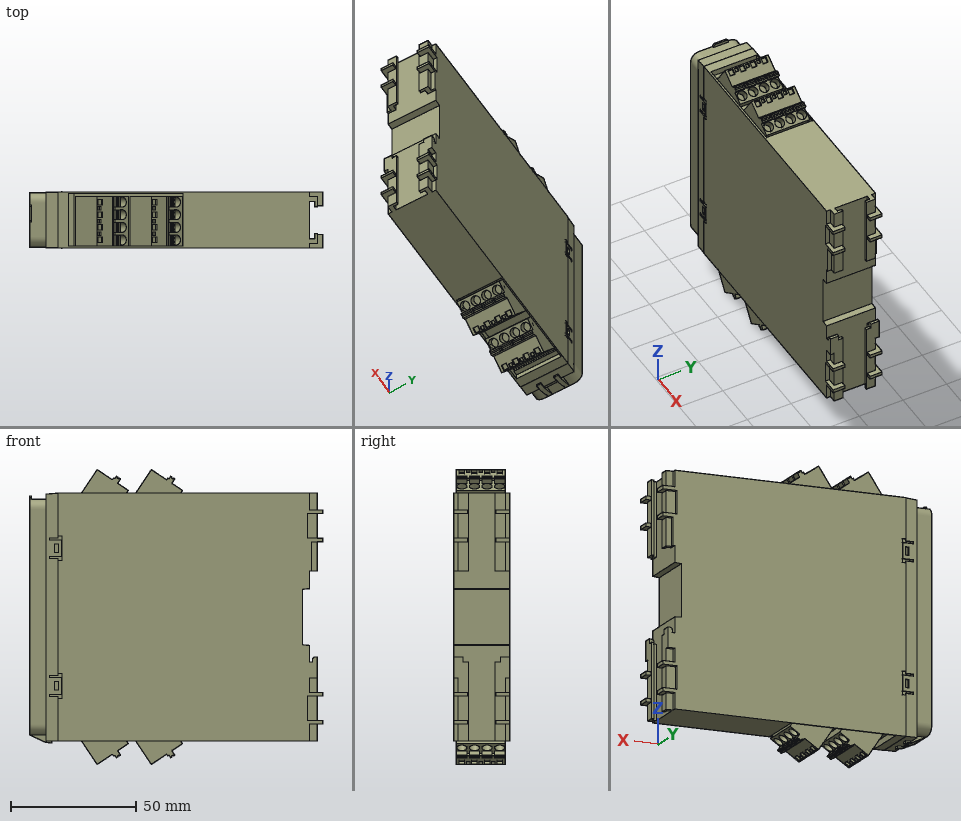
import cadquery as cq
import math

OVERALL_WIDTH = 22.62
BODY_WIDTH = 22.4
BODY_HALF_HEIGHT = 49.6
BEZEL_FRONT = 6.5
BEZEL_BACK = 11.3
BEZEL_INSET = 0.08
BEZEL_TAPER = 0.4
BODY_BACK = 111.9

COVER_WIDTH = 21.9
COVER_HALF_HEIGHT = 47.1
COVER_RADIUS = 4.0
TAB_DEPTH = 0.8
TAB_HEIGHT = 1.3
TAB_Y_MIN = -0.8
TAB_Y_MAX = 6.1
TAB_BEVEL = 0.7
HINGE_RIB_WIDTH = 2.1
HINGE_RIB_Y = (4.0, -4.1)
HINGE_BOTTOM = -50.4
HINGE_HEEL = 0.4
HINGE_RAMP_BACK = 6.2
HINGE_BACK = 8.9
HINGE_BAR_TOP = -48.5
HINGE_BAR_DEPTH = 0.8

LATCH_Z = 27.5
LATCH_HALF_HEIGHT = 3.35
LATCH_FRONT = 8.0
LATCH_BACK = 13.0
LATCH_SLOT = 0.8
LATCH_EAR = 1.6
LATCH_RECESS = 0.8
LATCH_LIP_LENGTH = 0.3
WINDOW_FRONT = 10.0
WINDOW_LENGTH = 1.8
WINDOW_HEIGHT = 3.4
WINDOW_DEPTH = 1.2

POCKET_FRONT = 15.6
POCKET_BACK = 61.2
POCKET_Y_MIN = -10.3
POCKET_Y_MAX = 10.6
POCKET_DEPTH = 3.6
LEDGE_BACK = 17.7
LEDGE_DEPTH = 2.6
TERMINAL_WIDTH = 19.75
TERMINAL_Y = -0.4
TERMINAL_TOP = 58.9
TERMINAL_APEX_X = (27.0, 48.65)
TERMINAL_TILT = 33.7
TERMINAL_LENGTH = 15.0
POLE_COUNT = 4
POLE_PITCH = 5.03
BUTTON_START = 7.3
BUTTON_END = 9.9
BUTTON_GAP = 1.1
BUTTON_HEIGHT = 2.1
BUTTON_GROOVE = 0.6
BUTTON_GROOVE_DEPTH = 0.4
RIDGE_HEIGHT = 0.9
RIDGE_LENGTH = 0.6
WIRE_HOLE_DIAMETER = 4.0
WIRE_HOLE_CENTRE = 12.0
WIRE_HOLE_DEPTH = 4.0
TOP_HOLE_START = 0.5
TEST_HOLE_LENGTH = 2.2
TEST_HOLE_WIDTH = 2.2
KEY_HOLE_LENGTH = 1.4
KEY_HOLE_WIDTH = 1.4
TOP_HOLE_DEPTH = 1.0

RAIL_SEAT = 109.1
RAIL_HALF_HEIGHT = 11.3
RAIL_SEAT_BEVEL = 0.25
WALL_BACK = 115.0
WALL_OUTER_Y = 9.45
WALL_INNER_Y = 7.4
WALL_LIP_FRONT = 113.9
WALL_LIP_Y = 5.3
UPPER_WALL_BOTTOM = 18.3
SKIN_BACK = 112.7
FOOT_TOP = -17.9
FOOT_BOTTOM = -24.3
FOOT_HOOK_FRONT = 113.0
FOOT_HOOK_TOP = -15.9
FOOT_HOOK_BEVEL = 0.7
FIN_BACK = 117.2
FIN_INNER_Y = 5.7
FIN_THICKNESS = 1.5
FIN_Z = (42.0, 30.8)
FIN_RECESS_FRONT = 111.0


def box(x0, x1, y0, y1, z0, z1):
    """Box between two opposite corners."""
    return cq.Workplane("XY").box(x1 - x0, y1 - y0, z1 - z0, centered=False).translate((x0, y0, z0))


def side_profile(points, width, y_centre=0):
    """XZ outline extruded symmetrically about y_centre."""
    outline = cq.Workplane("XZ").polyline(points).close().extrude(width / 2, both=True)
    return outline.translate((0, y_centre, 0))


def both_sides(shape):
    """The shape together with its mirror image in Y."""
    return shape.union(shape.mirror("XZ"))


def both_ends(shape):
    """The shape together with its mirror image in Z."""
    return shape.union(shape.mirror("XY"))


def housing():
    half = BODY_HALF_HEIGHT
    seat_z = RAIL_HALF_HEIGHT - RAIL_SEAT_BEVEL
    body = side_profile(
        [
            (BEZEL_BACK, -half),
            (BODY_BACK, -half),
            (BODY_BACK, -RAIL_HALF_HEIGHT),
            (RAIL_SEAT, -seat_z),
            (RAIL_SEAT, seat_z),
            (BODY_BACK, RAIL_HALF_HEIGHT),
            (BODY_BACK, half),
            (BEZEL_BACK, half),
        ],
        BODY_WIDTH,
    )
    top = half - BEZEL_INSET
    bezel = side_profile(
        [
            (BEZEL_FRONT, -top),
            (BEZEL_BACK, -top),
            (BEZEL_BACK, top),
            (BEZEL_FRONT, top - BEZEL_TAPER),
        ],
        BODY_WIDTH - 2 * BEZEL_INSET,
    )
    return body.union(bezel)


def cover():
    shell = (
        cq.Workplane("YZ")
        .rect(COVER_WIDTH, 2 * COVER_HALF_HEIGHT)
        .extrude(BEZEL_FRONT)
        .edges("|X")
        .fillet(COVER_RADIUS)
    )
    tab_top = COVER_HALF_HEIGHT + TAB_HEIGHT
    tab = (
        cq.Workplane("YZ")
        .polyline(
            [
                (TAB_Y_MIN, COVER_HALF_HEIGHT - TAB_HEIGHT),
                (TAB_Y_MAX, COVER_HALF_HEIGHT - TAB_HEIGHT),
                (TAB_Y_MAX, tab_top - TAB_BEVEL),
                (TAB_Y_MAX - TAB_BEVEL, tab_top),
                (TAB_Y_MIN + TAB_BEVEL, tab_top),
                (TAB_Y_MIN, tab_top - TAB_BEVEL),
            ]
        )
        .close()
        .extrude(TAB_DEPTH)
    )
    return shell.union(tab)


def cover_hinge():
    """Two ramped ribs under the cover with a thin bar between them."""
    rib_outline = [
        (0, -COVER_HALF_HEIGHT),
        (HINGE_RAMP_BACK, HINGE_BOTTOM + HINGE_HEEL),
        (HINGE_BACK, HINGE_BOTTOM),
        (HINGE_BACK, -COVER_HALF_HEIGHT),
    ]
    bar_front = BEZEL_FRONT - HINGE_BAR_DEPTH
    hinge = box(bar_front, BEZEL_FRONT, HINGE_RIB_Y[1], HINGE_RIB_Y[0], -BODY_HALF_HEIGHT, HINGE_BAR_TOP)
    for rib_y in HINGE_RIB_Y:
        hinge = hinge.union(side_profile(rib_outline, HINGE_RIB_WIDTH, rib_y))
    return hinge


def latch_recess():
    """Slots and ears around the upper -Y latch, and the seat that brings its tongue level with the bezel."""
    y_outer = -OVERALL_WIDTH / 2
    y_bezel = -BODY_WIDTH / 2 + BEZEL_INSET
    y_inner = -BODY_WIDTH / 2 + LATCH_RECESS
    slot_reach = LATCH_HALF_HEIGHT + LATCH_SLOT
    ear_reach = LATCH_HALF_HEIGHT + LATCH_EAR
    slots = box(LATCH_FRONT, LATCH_BACK, y_outer, y_inner, -slot_reach, slot_reach)
    ears = box(BEZEL_BACK, LATCH_BACK, y_outer, y_inner, -ear_reach, ear_reach)
    tongue = box(LATCH_FRONT, LATCH_BACK, y_bezel, y_inner, -LATCH_HALF_HEIGHT, LATCH_HALF_HEIGHT)
    return slots.union(ears).cut(tongue).translate((0, 0, LATCH_Z))


def latch_lip():
    """Raised lip along the back edge of the upper -Y latch tongue."""
    y_outer = -OVERALL_WIDTH / 2
    y_inner = -BODY_WIDTH / 2 + LATCH_RECESS
    lip = box(
        LATCH_BACK - LATCH_LIP_LENGTH, LATCH_BACK, y_outer, y_inner, -LATCH_HALF_HEIGHT, LATCH_HALF_HEIGHT
    )
    return lip.translate((0, 0, LATCH_Z))


def latch_window():
    """Window in the upper -Y latch with a floor that slopes up towards the back."""
    y_outer = -OVERALL_WIDTH / 2
    y_inner = -BODY_WIDTH / 2 + WINDOW_DEPTH
    window_back = WINDOW_FRONT + WINDOW_LENGTH
    outline = [(WINDOW_FRONT, y_outer), (window_back, y_outer), (WINDOW_FRONT, y_inner)]
    window = cq.Workplane("XY").polyline(outline).close().extrude(WINDOW_HEIGHT / 2, both=True)
    return window.translate((0, 0, LATCH_Z))


def terminal_pocket():
    """Pocket in the upper face with a shallower ledge at its front end."""
    top = BODY_HALF_HEIGHT
    ledge = box(POCKET_FRONT, LEDGE_BACK, POCKET_Y_MIN, POCKET_Y_MAX, top - LEDGE_DEPTH, top)
    return ledge.union(box(LEDGE_BACK, POCKET_BACK, POCKET_Y_MIN, POCKET_Y_MAX, top - POCKET_DEPTH, top))


def button_row(half_width):
    """Raised rail across an untilted block, grooved along its top and notched between the buttons."""
    row = box(BUTTON_START, BUTTON_END, -half_width, half_width, 0, BUTTON_HEIGHT)
    step_end = BUTTON_START + RIDGE_LENGTH
    row = row.cut(box(BUTTON_START, step_end, -half_width, half_width, RIDGE_HEIGHT, BUTTON_HEIGHT))
    groove_start = (step_end + BUTTON_END - BUTTON_GROOVE) / 2
    groove_floor = BUTTON_HEIGHT - BUTTON_GROOVE_DEPTH
    groove_end = groove_start + BUTTON_GROOVE
    row = row.cut(box(groove_start, groove_end, -half_width, half_width, groove_floor, BUTTON_HEIGHT))
    for i in range(POLE_COUNT - 1):
        gap_y = (i - POLE_COUNT / 2 + 1) * POLE_PITCH
        y0 = gap_y - BUTTON_GAP / 2
        y1 = gap_y + BUTTON_GAP / 2
        row = row.cut(box(step_end, BUTTON_END, y0, y1, 0, BUTTON_HEIGHT))
    return row


def terminal(apex_x):
    """Upper terminal block, built level with its front top edge at the origin, then tilted into place."""
    half_width = TERMINAL_WIDTH / 2
    body_depth = (TERMINAL_TOP - BODY_HALF_HEIGHT + 2 * POCKET_DEPTH) / math.cos(math.radians(TERMINAL_TILT))
    block = box(0, TERMINAL_LENGTH, -half_width, half_width, -body_depth, 0)
    block = block.union(button_row(half_width))

    pole_y = [(i - (POLE_COUNT - 1) / 2) * POLE_PITCH for i in range(POLE_COUNT)]
    for y in pole_y:
        wire_hole = cq.Workplane("XY").center(WIRE_HOLE_CENTRE, y).circle(WIRE_HOLE_DIAMETER / 2)
        block = block.cut(wire_hole.extrude(-WIRE_HOLE_DEPTH))
        block = block.cut(top_hole(y, TEST_HOLE_LENGTH, TEST_HOLE_WIDTH))
    for y in pole_y[:-1]:
        block = block.cut(top_hole(y + POLE_PITCH / 2, KEY_HOLE_LENGTH, KEY_HOLE_WIDTH))

    block = block.rotate((0, 0, 0), (0, 1, 0), TERMINAL_TILT).translate((apex_x, TERMINAL_Y, TERMINAL_TOP))
    floor_z = BODY_HALF_HEIGHT - POCKET_DEPTH
    below_pocket = box(POCKET_FRONT, POCKET_BACK, POCKET_Y_MIN, POCKET_Y_MAX, 0, floor_z)
    return block.cut(below_pocket)


def top_hole(y, length, width):
    """Rectangular blind hole near the top edge of an untilted terminal block."""
    return box(TOP_HOLE_START, TOP_HOLE_START + length, y - width / 2, y + width / 2, -TOP_HOLE_DEPTH, 0)


def rail_wall(z0, z1, outer_y):
    """+Y rear wall with a lip turned inwards."""
    wall = box(BODY_BACK, WALL_BACK, WALL_INNER_Y, outer_y, z0, z1)
    lip = box(WALL_LIP_FRONT, WALL_BACK, WALL_LIP_Y, WALL_INNER_Y, z0, z1)
    return wall.union(lip)


def rail_foot():
    """+Y foot below the rail seat, rising to a bevelled hook."""
    foot = rail_wall(FOOT_BOTTOM, FOOT_TOP, BODY_WIDTH / 2)
    hook = side_profile(
        [
            (FOOT_HOOK_FRONT, FOOT_TOP),
            (WALL_BACK, FOOT_TOP),
            (WALL_BACK, FOOT_HOOK_TOP),
            (FOOT_HOOK_FRONT + FOOT_HOOK_BEVEL, FOOT_HOOK_TOP),
            (FOOT_HOOK_FRONT, FOOT_HOOK_TOP - FOOT_HOOK_BEVEL),
        ],
        BODY_WIDTH / 2 - WALL_INNER_Y,
        (BODY_WIDTH / 2 + WALL_INNER_Y) / 2,
    )
    return foot.union(hook)


def rail_fins():
    """+Y fins above and below the rail seat."""
    half = FIN_THICKNESS / 2
    fins = None
    for z in FIN_Z:
        side = box(BODY_BACK, FIN_BACK, WALL_INNER_Y, BODY_WIDTH / 2, z - half, z + half)
        tip = box(WALL_LIP_FRONT, FIN_BACK, FIN_INNER_Y, WALL_INNER_Y, z - half, z + half)
        fin = side.union(tip)
        fins = fin if fins is None else fins.union(fin)
    return both_ends(fins)


def rail_side():
    walls = rail_wall(UPPER_WALL_BOTTOM, BODY_HALF_HEIGHT, WALL_OUTER_Y)
    walls = walls.union(rail_wall(-BODY_HALF_HEIGHT, FOOT_BOTTOM, WALL_OUTER_Y))
    skin = box(BODY_BACK, SKIN_BACK, WALL_OUTER_Y, BODY_WIDTH / 2, UPPER_WALL_BOTTOM, FIN_Z[1])
    return both_sides(walls.union(skin).union(rail_foot()).union(rail_fins()))


def fin_recess():
    """Side recess in the housing between a pair of fins."""
    half = FIN_THICKNESS / 2
    recess = box(FIN_RECESS_FRONT, BODY_BACK, WALL_OUTER_Y, BODY_WIDTH / 2, FIN_Z[1] + half, FIN_Z[0] - half)
    return both_ends(both_sides(recess))


result = housing().union(cover()).union(cover_hinge())
result = result.cut(both_ends(terminal_pocket()))
for apex in TERMINAL_APEX_X:
    result = result.union(both_ends(terminal(apex)))
result = result.cut(both_ends(both_sides(latch_recess())))
result = result.union(both_ends(both_sides(latch_lip())))
result = result.cut(both_ends(both_sides(latch_window())))
result = result.cut(fin_recess()).union(rail_side())